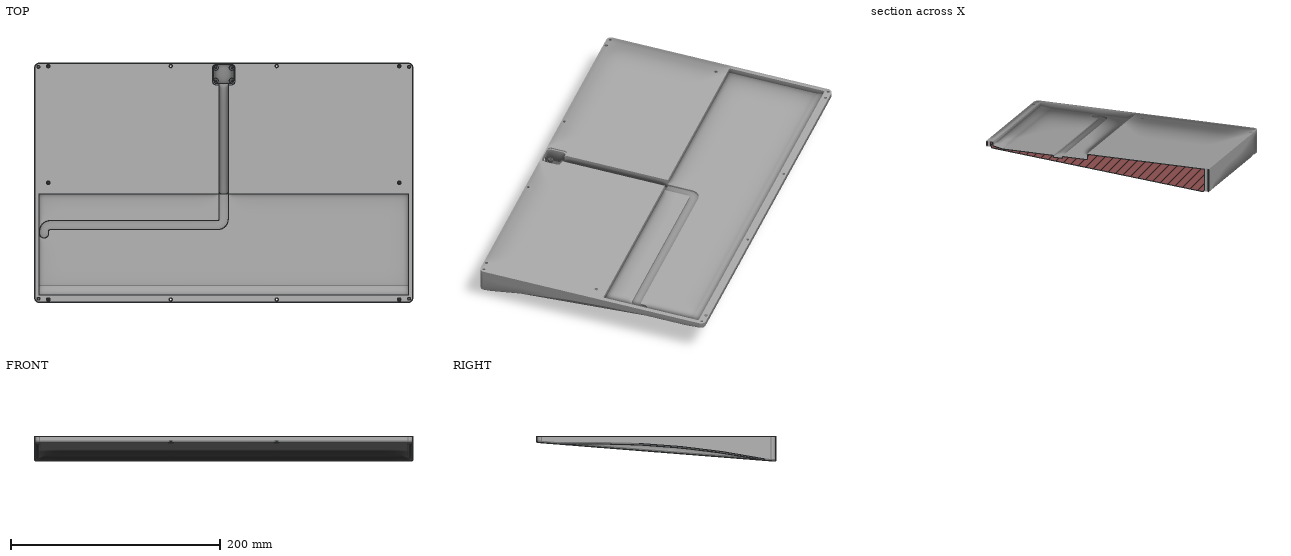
import cadquery as cq

length = 361.5
depth = 228.8
rear_height = 24.0
front_height = 5.8
corner_radius = 4.7
bottom_round = 1.5
half_length = length / 2
rear_y = depth / 2
front_y = -rear_y

skirt_width = 3.5
skirt_front_height = 7.2
skirt_arc_start_y = -56.5
skirt_rear_height = 25.3

pocket_half_length = 176.7
pocket_rear_y = -10.5
pocket_front_y = -107.5
pocket_depth = 5.5
ramp_rear_y = -98.0
ramp_rise = 1.8
pocket_corner_radius = 1.0

channel_width = 8.5
rear_channel_depth = 9.5
front_channel_depth = 7.2
rear_channel_corner = 1.5
channel_bend_radius = 5.8
channel_run_y = -40.5
channel_end_x = -171.5
channel_end_y = -48.5

box_length = 19.0
box_front_y = 94.7
box_rear_y = 113.0
box_depth = 14.8
box_corner_radius = 3.3
lid_ledge_width = 1.0
lid_ledge_depth = 1.5
box_post_diameter = 4.7
box_post_hole_diameter = 1.63
box_post_height = 3.0
box_post_x = 7.5
box_post_rear_y = 110.0
box_post_front_y = 97.5
port_diameter = 8.0
port_z = -9.5

hole_edge_offset = 3.0
rear_hole_y = rear_y - hole_edge_offset
front_hole_y = front_y + hole_edge_offset
outer_hole_x = 167.5
inner_hole_x = 50.5
middle_hole_y = 0.0
insert_pilot_diameter = 1.63
insert_pilot_depth = 4.5
insert_mouth_diameter = 3.3
insert_mouth_depth = 1.5
foot_diameter = 8.0
foot_depth = 1.5
screw_hole_diameter = 2.7
screw_head_diameter = 4.7
screw_head_depth = 1.5
corner_hole_diameter = 2.7
corner_hole_depth = 4.5
corner_hole_inset = 3.5


def box_between(x_min, x_max, y_min, y_max, z_min, z_max):
    block = cq.Workplane("XY").box(x_max - x_min, y_max - y_min, z_max - z_min, centered=False)
    return block.translate((x_min, y_min, z_min))


def rounded_plate(plate_length, height):
    plate = cq.Workplane("XY").box(plate_length, depth, height, centered=(True, True, False))
    return plate.translate((0, 0, -height)).edges("|Z").fillet(corner_radius)


def cylinder_down(x, y, z_top, diameter, height):
    return cq.Workplane("XY").center(x, y).circle(diameter / 2).extrude(-height).translate((0, 0, z_top))


def underside_z(y):
    slope = (rear_height - front_height) / depth
    return -front_height - slope * (y - front_y)


def below_wedge():
    profile = [(front_y, -front_height), (rear_y, -rear_height), (front_y, -rear_height)]
    return cq.Workplane("YZ").polyline(profile).close().extrude(half_length, both=True)


def below_skirts():
    return (
        cq.Workplane("YZ")
        .moveTo(front_y, -skirt_front_height)
        .lineTo(skirt_arc_start_y, -skirt_front_height)
        .tangentArcPoint((rear_y, -skirt_rear_height), relative=False)
        .lineTo(front_y, -skirt_rear_height)
        .close()
        .extrude(half_length, both=True)
    )


def round_bottom(body):
    return body.edges("not (|Z or >Z)").fillet(bottom_round)


def make_body():
    wedge = round_bottom(rounded_plate(length, rear_height).cut(below_wedge()))
    skirted = round_bottom(rounded_plate(length, skirt_rear_height).cut(below_skirts()))
    core = round_bottom(rounded_plate(length - 2 * skirt_width, rear_height).cut(below_wedge()))
    return wedge.intersect(skirted).union(core)


def make_pocket():
    profile = [
        (pocket_rear_y, 0),
        (pocket_rear_y, -pocket_depth),
        (ramp_rear_y, -pocket_depth),
        (pocket_front_y, ramp_rise - pocket_depth),
        (pocket_front_y, 0),
    ]
    pocket = cq.Workplane("YZ").polyline(profile).close().extrude(pocket_half_length, both=True)
    return pocket.edges("|Z").fillet(pocket_corner_radius)


def make_channel():
    half_width = channel_width / 2
    rear_run = box_between(-half_width, half_width, pocket_rear_y, box_front_y, -rear_channel_depth, 0)
    rear_run = rear_run.edges("|Z and <Y").fillet(rear_channel_corner)
    bend = channel_bend_radius
    start = (0, pocket_rear_y + rear_channel_corner, -front_channel_depth)
    path = (
        cq.Workplane("XY", origin=(0, 0, -front_channel_depth))
        .moveTo(start[0], start[1])
        .lineTo(0, channel_run_y + bend)
        .tangentArcPoint((-bend, channel_run_y), relative=False)
        .lineTo(channel_end_x + bend, channel_run_y)
        .tangentArcPoint((channel_end_x, channel_run_y - bend), relative=False)
        .lineTo(channel_end_x, channel_end_y)
    )
    front_run = (
        cq.Workplane("XZ", origin=start)
        .center(0, front_channel_depth / 2)
        .rect(channel_width, front_channel_depth)
        .sweep(path)
    )
    end = cylinder_down(channel_end_x, channel_end_y, 0, channel_width, front_channel_depth)
    return rear_run.union(front_run).union(end)


def make_connector_box():
    half = box_length / 2
    box = box_between(-half, half, box_front_y, box_rear_y, -box_depth, 0).edges("|Z").fillet(box_corner_radius)
    post_top_z = box_post_height - box_depth
    for x in (-box_post_x, box_post_x):
        for y in (box_post_front_y, box_post_rear_y):
            post = cylinder_down(x, y, post_top_z, box_post_diameter, box_post_height)
            post_hole = cylinder_down(x, y, post_top_z, box_post_hole_diameter, box_post_height)
            box = box.cut(post).union(post_hole)
    seat_half = half + lid_ledge_width
    seat_front_y = box_front_y - lid_ledge_width
    lid_seat = box_between(-seat_half, seat_half, seat_front_y, box_rear_y, -lid_ledge_depth, 0)
    lid_seat = lid_seat.edges("|Z").fillet(box_corner_radius)
    port = (
        cq.Workplane("XZ", origin=(0, rear_y, port_z))
        .circle(port_diameter / 2)
        .extrude(rear_y - box_post_rear_y)
    )
    return box.union(lid_seat).union(port)


def make_insert_holes():
    holes = cq.Workplane("XY")
    for x in (-outer_hole_x, outer_hole_x):
        for y in (front_hole_y, middle_hole_y, rear_hole_y):
            holes = holes.add(cylinder_down(x, y, 0, insert_pilot_diameter, insert_pilot_depth))
            holes = holes.add(cylinder_down(x, y, 0, insert_mouth_diameter, insert_mouth_depth))
    return holes.combine()


def make_foot_recesses():
    recesses = cq.Workplane("XY")
    top_z = underside_z(rear_hole_y) + foot_depth
    for x in (-outer_hole_x, outer_hole_x):
        recesses = recesses.add(cylinder_down(x, rear_hole_y, top_z, foot_diameter, rear_height))
    return recesses.combine()


def make_screw_holes():
    holes = cq.Workplane("XY")
    for x in (-inner_hole_x, inner_hole_x):
        for y in (front_hole_y, rear_hole_y):
            head_z = underside_z(y) + screw_head_depth
            holes = holes.add(cylinder_down(x, y, 0, screw_hole_diameter, rear_height))
            holes = holes.add(cylinder_down(x, y, head_z, screw_head_diameter, rear_height))
    return holes.combine()


def make_corner_holes():
    holes = cq.Workplane("XY")
    hole_x = half_length - corner_hole_inset
    hole_y = rear_y - corner_hole_inset
    for x in (-hole_x, hole_x):
        for y in (-hole_y, hole_y):
            holes = holes.add(cylinder_down(x, y, 0, corner_hole_diameter, corner_hole_depth))
    return holes.combine()


result = (
    make_body()
    .cut(make_pocket())
    .cut(make_channel())
    .cut(make_connector_box())
    .cut(make_insert_holes())
    .cut(make_foot_recesses())
    .cut(make_screw_holes())
    .cut(make_corner_holes())
    .solids()
)